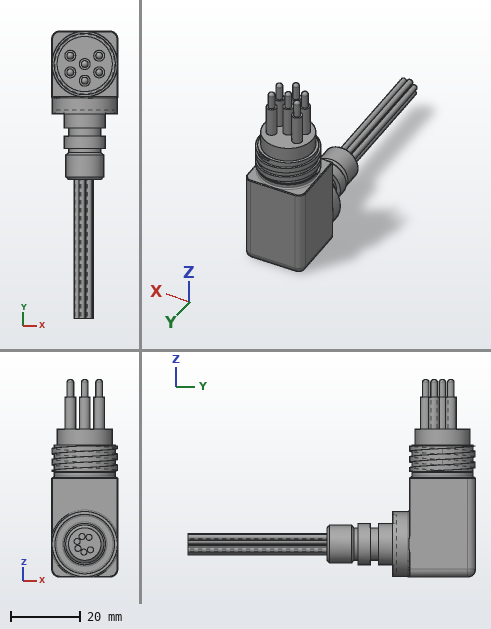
import cadquery as cq
import math


block_width = 19.05
block_height = 28.75
half_width = block_width / 2
corner_radius = 2.3
edge_chamfer = 0.25
blend_radius = 0.4

neck_diameter = 17.65
neck_top = 38.1
relief_diameter = 17.15
relief_bottom = 30.15
relief_height = 0.3
carrier_diameter = 15.9
carrier_top = 42.7

thread_diameter = 18.9
thread_pitch = 3.15
thread_width = 1.6
thread_bottom = relief_bottom + relief_height
thread_start_height = 30.0
thread_top = 37.8
thread_start_angle = 180.0
thread_root_overlap = 0.25

pin_circle_radius = 4.8
pin_corner_angles = (30, 150, 210, 270, 330)
sleeve_diameter = 3.15
sleeve_top = 51.9
contact_diameter = 2.0
contact_shoulder = 56.2
contact_tip = 57.0

cable_axis_height = 9.5
flange_diameter = 18.8
flange_end = 14.3
flange_recess_diameter = 17.15
flange_recess_depth = 1.1
collar_diameter = 11.9
collar_end = 18.5
groove_diameter = 9.4
second_collar_start = 20.8
second_collar_end = 24.35
sleeve_taper_start = 25.5
cable_sleeve_diameter = 11.0
cable_sleeve_start = 26.2
cable_sleeve_end = 33.3
sleeve_chamfer = 0.8

wire_diameter = 1.7
wire_circle_radius = 2.3
wire_places = 7
wire_count = wire_places - 1
first_wire_angle = 58.0
overall_length = 82.85
wire_end = overall_length - half_width


def polar_point(radius, angle):
    return (radius * math.cos(math.radians(angle)), radius * math.sin(math.radians(angle)))


def revolve_about_z(outline):
    return outline.close().revolve(360, (0, 0, 0), (0, 1, 0))


def to_cable_axis(shape):
    """Turn a shape built along +Z so that it runs along -Y at the cable height."""
    return shape.rotate((0, 0, 0), (1, 0, 0), 90).translate((0, 0, cable_axis_height))


def make_block():
    block = cq.Workplane("XY").box(block_width, block_width, block_height, centered=(True, True, False))
    block = block.edges("(|Z and >Y) or (<Z and (not <Y))").fillet(corner_radius)
    return block.faces("<Y or >Z").edges().chamfer(edge_chamfer)


def make_neck():
    neck_radius = neck_diameter / 2
    relief_radius = relief_diameter / 2
    carrier_radius = carrier_diameter / 2
    outline = (
        cq.Workplane("XZ")
        .moveTo(0, cable_axis_height)
        .lineTo(neck_radius + blend_radius, cable_axis_height)
        .lineTo(neck_radius + blend_radius, block_height)
        .radiusArc((neck_radius, block_height + blend_radius), blend_radius)
        .lineTo(neck_radius, relief_bottom)
        .lineTo(relief_radius, relief_bottom)
        .lineTo(relief_radius, relief_bottom + relief_height)
        .lineTo(neck_radius, relief_bottom + relief_height)
        .lineTo(neck_radius, neck_top)
        .lineTo(carrier_radius, neck_top)
        .lineTo(carrier_radius, carrier_top)
        .lineTo(0, carrier_top)
    )
    return revolve_about_z(outline)


def make_thread():
    """Square helical ridge sunk slightly into the neck and trimmed flat at both ends."""
    root_radius = neck_diameter / 2 - thread_root_overlap
    crest_radius = thread_diameter / 2
    path_height = thread_top - thread_start_height + thread_pitch
    path = cq.Wire.makeHelix(thread_pitch, path_height, root_radius)
    profile = cq.Workplane("XZ").polyline([
        (root_radius, -thread_width / 2),
        (crest_radius, -thread_width / 2),
        (crest_radius, thread_width / 2),
        (root_radius, thread_width / 2),
    ]).close()
    ridge = profile.sweep(cq.Workplane(path), isFrenet=True)
    ridge = ridge.rotate((0, 0, 0), (0, 0, 1), thread_start_angle)
    ridge = ridge.translate((0, 0, thread_start_height))
    limits = (
        cq.Workplane("XY")
        .workplane(offset=thread_bottom)
        .circle(thread_diameter)
        .extrude(thread_top - thread_bottom)
    )
    return ridge.intersect(limits)


def make_pin():
    sleeve_radius = sleeve_diameter / 2
    contact_radius = contact_diameter / 2
    tip_height = contact_tip - contact_shoulder
    tip_sphere_radius = (contact_radius**2 + tip_height**2) / (2 * tip_height)
    outline = (
        cq.Workplane("XZ")
        .moveTo(0, neck_top)
        .lineTo(sleeve_radius, neck_top)
        .lineTo(sleeve_radius, sleeve_top)
        .lineTo(contact_radius, sleeve_top)
        .lineTo(contact_radius, contact_shoulder)
        .radiusArc((0, contact_tip), -tip_sphere_radius)
    )
    return revolve_about_z(outline)


def make_gland():
    flange_radius = flange_diameter / 2
    recess_radius = flange_recess_diameter / 2
    recess_floor = flange_end - flange_recess_depth
    collar_radius = collar_diameter / 2
    groove_radius = groove_diameter / 2
    sleeve_radius = cable_sleeve_diameter / 2
    outline = (
        cq.Workplane("XZ")
        .lineTo(flange_radius, 0)
        .lineTo(flange_radius, flange_end)
        .lineTo(recess_radius, flange_end)
        .lineTo(recess_radius, recess_floor + blend_radius)
        .radiusArc((recess_radius - blend_radius, recess_floor), blend_radius)
        .lineTo(collar_radius + blend_radius, recess_floor)
        .radiusArc((collar_radius, recess_floor + blend_radius), blend_radius)
        .lineTo(collar_radius, collar_end)
        .lineTo(groove_radius, collar_end)
        .lineTo(groove_radius, second_collar_start)
        .lineTo(collar_radius, second_collar_start)
        .lineTo(collar_radius, second_collar_end)
        .lineTo(groove_radius, second_collar_end)
        .lineTo(groove_radius, sleeve_taper_start)
        .lineTo(sleeve_radius, cable_sleeve_start)
        .lineTo(sleeve_radius, cable_sleeve_end - sleeve_chamfer)
        .lineTo(sleeve_radius - sleeve_chamfer, cable_sleeve_end)
        .lineTo(0, cable_sleeve_end)
    )
    return to_cable_axis(revolve_about_z(outline))


def make_flange_blend():
    """Concave blend from the block's front face to the flange, cut off flush with the block's sides."""
    flange_radius = flange_diameter / 2
    outline = (
        cq.Workplane("XZ")
        .moveTo(0, half_width - edge_chamfer)
        .lineTo(flange_radius + blend_radius, half_width - edge_chamfer)
        .lineTo(flange_radius + blend_radius, half_width)
        .radiusArc((flange_radius, half_width + blend_radius), blend_radius)
        .lineTo(0, half_width + blend_radius)
    )
    blend = to_cable_axis(revolve_about_z(outline))
    limits = cq.Workplane("XY").box(block_width, 2 * block_width, block_height, centered=(True, True, False))
    return blend.intersect(limits)


def make_wires():
    angles = [first_wire_angle + place * 360 / wire_places for place in range(wire_count)]
    centres = [polar_point(wire_circle_radius, angle) for angle in angles]
    wires = (
        cq.Workplane("XY")
        .workplane(offset=sleeve_taper_start)
        .pushPoints(centres)
        .circle(wire_diameter / 2)
        .extrude(wire_end - sleeve_taper_start)
    )
    return to_cable_axis(wires)


result = make_block().union(make_neck()).union(make_thread())

pin_centres = [(0, 0)] + [polar_point(pin_circle_radius, angle) for angle in pin_corner_angles]
for x, y in pin_centres:
    result = result.union(make_pin().translate((x, y, 0)))

result = result.union(make_gland()).union(make_flange_blend()).union(make_wires())